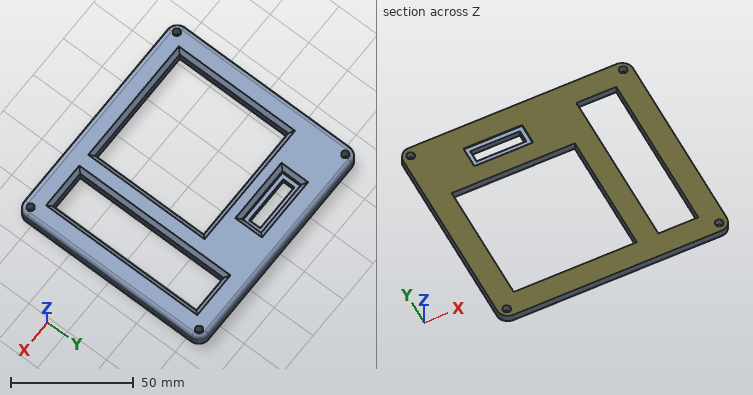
import cadquery as cq

PLATE_LENGTH = 105.0
PLATE_WIDTH = 95.0
PLATE_THICKNESS = 7.0
CORNER_RADIUS = 5.0
TOP_EDGE_RADIUS = 2.0

SCREW_HOLE_DIAMETER = 3.4
SCREW_HOLE_INSET = 4.0

BEVEL = 2.0
WINDOW_MARGIN = 8.5
LARGE_WINDOW_SIZE = 56.0
TALL_WINDOW_LENGTH = 18.0

DISPLAY_POCKET_LENGTH = 26.6
DISPLAY_POCKET_WIDTH = 9.7
DISPLAY_CENTER_X = -14.25
LEDGE_WIDTH = 2.0
LEDGE_DEPTH = 4.0
DISPLAY_OPENING_LENGTH = DISPLAY_POCKET_LENGTH - 2 * LEDGE_WIDTH
DISPLAY_OPENING_WIDTH = DISPLAY_POCKET_WIDTH - 2 * LEDGE_WIDTH

BEVEL_LIMIT_X = PLATE_LENGTH / 2 - WINDOW_MARGIN
BEVEL_LIMIT_Y = PLATE_WIDTH / 2 - WINDOW_MARGIN
OPENING_LIMIT_X = BEVEL_LIMIT_X - BEVEL
OPENING_LIMIT_Y = BEVEL_LIMIT_Y - BEVEL
LARGE_WINDOW_CENTER = (-OPENING_LIMIT_X + LARGE_WINDOW_SIZE / 2, -OPENING_LIMIT_Y + LARGE_WINDOW_SIZE / 2)
TALL_WINDOW_WIDTH = 2 * OPENING_LIMIT_Y
TALL_WINDOW_CENTER = (OPENING_LIMIT_X - TALL_WINDOW_LENGTH / 2, 0)
DISPLAY_CENTER = (DISPLAY_CENTER_X, OPENING_LIMIT_Y - DISPLAY_POCKET_WIDTH / 2)


def make_plate():
    """Plate with rounded corners and a rounded top edge, standing on Z = 0."""
    plate = cq.Workplane("XY").box(PLATE_LENGTH, PLATE_WIDTH, PLATE_THICKNESS, centered=(True, True, False))
    return plate.edges("|Z").fillet(CORNER_RADIUS).faces(">Z").edges().fillet(TOP_EDGE_RADIUS)


def rectangular_cutter(length, width, center, depth):
    """Straight cutter reaching the given depth below the top face."""
    top = cq.Workplane("XY", origin=(*center, PLATE_THICKNESS))
    return top.rect(length, width).extrude(-depth)


def bevelled_cutter(length, width, center, depth):
    """Straight cutter whose mouth widens in a 45 degree bevel at the top face."""
    top = cq.Workplane("XY", origin=(*center, PLATE_THICKNESS))
    mouth = (
        top.rect(length + 2 * BEVEL, width + 2 * BEVEL)
        .workplane(offset=-BEVEL)
        .rect(length, width)
        .loft(ruled=True)
    )
    return mouth.union(rectangular_cutter(length, width, center, depth))


def cut_large_windows(plate):
    """Cut the large square window and the tall narrow one beside it."""
    large_window = bevelled_cutter(LARGE_WINDOW_SIZE, LARGE_WINDOW_SIZE, LARGE_WINDOW_CENTER, PLATE_THICKNESS)
    tall_window = bevelled_cutter(TALL_WINDOW_LENGTH, TALL_WINDOW_WIDTH, TALL_WINDOW_CENTER, PLATE_THICKNESS)
    return plate.cut(large_window).cut(tall_window)


def cut_display_window(plate):
    """Cut the bevelled pocket and the smaller opening through its floor."""
    pocket = bevelled_cutter(DISPLAY_POCKET_LENGTH, DISPLAY_POCKET_WIDTH, DISPLAY_CENTER, LEDGE_DEPTH)
    opening = rectangular_cutter(
        DISPLAY_OPENING_LENGTH, DISPLAY_OPENING_WIDTH, DISPLAY_CENTER, PLATE_THICKNESS
    )
    return plate.cut(pocket).cut(opening)


def cut_screw_holes(plate):
    """Drill the four corner holes straight through."""
    spacing_x = PLATE_LENGTH - 2 * SCREW_HOLE_INSET
    spacing_y = PLATE_WIDTH - 2 * SCREW_HOLE_INSET
    holes = (
        cq.Workplane("XY")
        .rect(spacing_x, spacing_y, forConstruction=True)
        .vertices()
        .circle(SCREW_HOLE_DIAMETER / 2)
        .extrude(PLATE_THICKNESS)
    )
    return plate.cut(holes)


plate = make_plate()
plate = cut_large_windows(plate)
plate = cut_display_window(plate)
result = cut_screw_holes(plate)